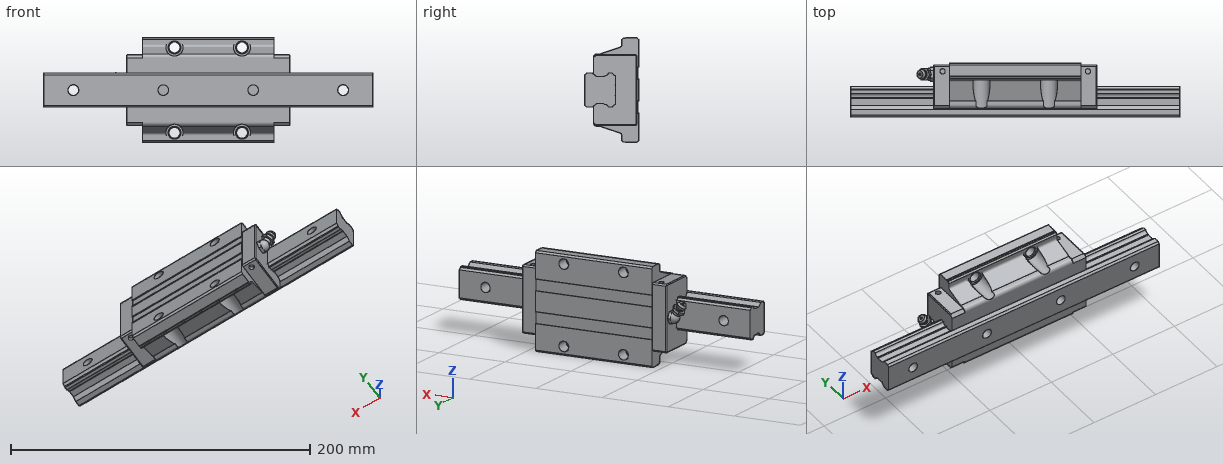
import cadquery as cq
import math

RAIL_LENGTH = 220.0
RAIL_HEIGHT = 20.5
RAIL_HALF_WIDTH = 11.5
ASSEMBLY_HEIGHT = 36.0

RAIL_FOOT_CHAMFER = 1.3
RAIL_FOOT_TOP = 5.0
RAIL_WAIST_HALF_WIDTH = 9.0
RAIL_WAIST_BOTTOM = 8.0
RAIL_WAIST_TOP = 12.5
RAIL_RIB_BOTTOM = 15.8
RAIL_RIB_TOP = 18.0
RAIL_CROWN_HALF_WIDTH = 9.7
RACEWAY_RADIUS = 2.6
RACEWAY_BEVEL_LENGTH = 0.7
RACEWAY_BEVEL_DEPTH = 0.5

RAIL_HOLE_DIAMETER = 7.0
RAIL_HOLE_PITCH = 60.0
RAIL_HOLE_COUNT = 4

CARRIAGE_LENGTH = 109.1
CARRIAGE_BOTTOM = 5.7

BLOCK_LENGTH = 88.0
FLANGE_HALF_WIDTH = 35.0
FLANGE_BOTTOM = 24.6
FLANGE_TOP_CHAMFER = 1.3
FLANGE_BOTTOM_CHAMFER = 1.0
FLANGE_BEVEL_BOTTOM = 26.8
FLANGE_BEVEL_DEPTH = 0.2
FLANK_BEVEL_DEPTH = 0.5
SIDE_BEVEL_LENGTH = 0.7
FLANK_TOP_HALF_WIDTH = 29.0
FLANK_BOTTOM_HALF_WIDTH = 24.2
FLANK_BOTTOM = 10.8
FLANK_FILLET = 1.8
BLOCK_EDGE_FILLET = 2.6

GROOVE_INNER = 7.3
GROOVE_OUTER = 15.5
GROOVE_DEPTH = 0.7

CAP_HALF_WIDTH = 23.8
CAP_TOP = 35.0
CAP_BOTTOM_CHAMFER = 2.2
CAP_TOP_CHAMFER = 1.0
CAP_FACE_CHAMFER = 0.7
CAP_PORT_DIAMETER = 3.5
CAP_PORT_DEPTH = 3.3
CAP_PORT_SPACING = 97.0
CAP_PORT_HEIGHT = 30.5

MOUNT_HOLE_DIAMETER = 7.3
MOUNT_CHAMFER = 0.7
MOUNT_PITCH_X = 45.0
MOUNT_PITCH_Z = 57.0
RELIEF_DIAMETER = 11.5

NIPPLE_HEIGHT = 28.5
NIPPLE_TILT = 35.0
COLLAR_CORNER_DIAMETER = 9.7
COLLAR_THICKNESS = 2.0
ELBOW_RADIUS = 4.3
NECK_HEX_FLATS = 8.0
NECK_HEX_START = 5.7
NECK_HEX_END = 7.7
STEM_RADIUS = 2.6
HEAD_START = 9.0
HEAD_RADIUS = 3.3
HEAD_TAPER_START = 10.8
HEAD_END = 12.5
TIP_RADIUS = 2.5
TIP_HOLE_RADIUS = 0.9
TIP_HOLE_DEPTH = 1.3

CARRIAGE_FACE_X = -CARRIAGE_LENGTH / 2


def extrude_along_x(half_outline, length):
    """Extrude a half outline of the Y-Z plane both ways from X = 0 and mirror it about Z = 0."""
    half = half_outline.close().extrude(length / 2, both=True)
    return half.union(half.mirror("XY"))


def rail_section(length):
    outline = (
        cq.Workplane("YZ")
        .lineTo(0, RAIL_HALF_WIDTH - RAIL_FOOT_CHAMFER)
        .lineTo(RAIL_FOOT_CHAMFER, RAIL_HALF_WIDTH)
        .lineTo(RAIL_FOOT_TOP, RAIL_HALF_WIDTH)
        .lineTo(RAIL_WAIST_BOTTOM, RAIL_WAIST_HALF_WIDTH)
        .lineTo(RAIL_WAIST_TOP, RAIL_WAIST_HALF_WIDTH)
        .line(RACEWAY_BEVEL_LENGTH, RACEWAY_BEVEL_DEPTH)
        .radiusArc((RAIL_RIB_BOTTOM, RAIL_HALF_WIDTH), -RACEWAY_RADIUS)
        .lineTo(RAIL_RIB_TOP, RAIL_HALF_WIDTH)
        .line(RACEWAY_BEVEL_LENGTH, -RACEWAY_BEVEL_DEPTH)
        .radiusArc((RAIL_HEIGHT, RAIL_CROWN_HALF_WIDTH), -RACEWAY_RADIUS)
        .lineTo(RAIL_HEIGHT, 0)
    )
    return extrude_along_x(outline, length)


def make_rail():
    first_x = -RAIL_HOLE_PITCH * (RAIL_HOLE_COUNT - 1) / 2
    hole_points = [(first_x + i * RAIL_HOLE_PITCH, 0) for i in range(RAIL_HOLE_COUNT)]
    holes = (
        cq.Workplane("XZ")
        .pushPoints(hole_points)
        .circle(RAIL_HOLE_DIAMETER / 2)
        .extrude(-RAIL_HEIGHT)
    )
    return rail_section(RAIL_LENGTH).cut(holes)


def make_block():
    lower_flange_half_width = FLANGE_HALF_WIDTH - FLANGE_BEVEL_DEPTH
    outline = (
        cq.Workplane("YZ")
        .moveTo(CARRIAGE_BOTTOM, 0)
        .lineTo(CARRIAGE_BOTTOM, FLANK_BOTTOM_HALF_WIDTH - BLOCK_EDGE_FILLET)
        .radiusArc((CARRIAGE_BOTTOM + BLOCK_EDGE_FILLET, FLANK_BOTTOM_HALF_WIDTH), BLOCK_EDGE_FILLET)
        .lineTo(FLANK_BOTTOM, FLANK_BOTTOM_HALF_WIDTH)
        .line(SIDE_BEVEL_LENGTH, FLANK_BEVEL_DEPTH)
        .lineTo(FLANGE_BOTTOM, FLANK_TOP_HALF_WIDTH)
        .lineTo(FLANGE_BOTTOM, lower_flange_half_width - FLANGE_BOTTOM_CHAMFER)
        .lineTo(FLANGE_BOTTOM + FLANGE_BOTTOM_CHAMFER, lower_flange_half_width)
        .lineTo(FLANGE_BEVEL_BOTTOM, lower_flange_half_width)
        .line(SIDE_BEVEL_LENGTH, FLANGE_BEVEL_DEPTH)
        .lineTo(ASSEMBLY_HEIGHT - FLANGE_TOP_CHAMFER, FLANGE_HALF_WIDTH)
        .lineTo(ASSEMBLY_HEIGHT, FLANGE_HALF_WIDTH - FLANGE_TOP_CHAMFER)
        .lineTo(ASSEMBLY_HEIGHT, GROOVE_OUTER)
        .lineTo(ASSEMBLY_HEIGHT - GROOVE_DEPTH, GROOVE_OUTER)
        .lineTo(ASSEMBLY_HEIGHT - GROOVE_DEPTH, GROOVE_INNER)
        .lineTo(ASSEMBLY_HEIGHT, GROOVE_INNER)
        .lineTo(ASSEMBLY_HEIGHT, 0)
    )
    block = extrude_along_x(outline, BLOCK_LENGTH)
    for side in (-1, 1):
        inner_corner = cq.selectors.NearestToPointSelector((0, FLANGE_BOTTOM, side * FLANK_TOP_HALF_WIDTH))
        block = block.edges(inner_corner).fillet(FLANK_FILLET)
    return block


def make_cap_bar():
    """Full-length bar whose two ends form the end caps."""
    height = CAP_TOP - CARRIAGE_BOTTOM
    return (
        cq.Workplane("XY")
        .box(CARRIAGE_LENGTH, height, 2 * CAP_HALF_WIDTH)
        .translate((0, CARRIAGE_BOTTOM + height / 2, 0))
        .faces("<X or >X")
        .edges("|Y or >Y")
        .chamfer(CAP_FACE_CHAMFER)
        .edges("|X and <Y")
        .chamfer(CAP_BOTTOM_CHAMFER)
        .edges("|X and >Y")
        .chamfer(CAP_TOP_CHAMFER)
    )


def make_cap_ports():
    """Blind ports in both side faces of both end caps."""
    port_points = [(side * CAP_PORT_SPACING / 2, CAP_PORT_HEIGHT) for side in (-1, 1)]
    port = (
        cq.Workplane("XY", origin=(0, 0, CAP_HALF_WIDTH - CAP_PORT_DEPTH))
        .pushPoints(port_points)
        .circle(CAP_PORT_DIAMETER / 2)
        .extrude(CAP_PORT_DEPTH)
    )
    return port.union(port.mirror("XY"))


def make_mount_cuts():
    """Flange holes chamfered from below, with round reliefs cut into the sloping flanks."""
    hole_radius = MOUNT_HOLE_DIAMETER / 2
    cutter = (
        cq.Workplane("XY")
        .lineTo(RELIEF_DIAMETER / 2, 0)
        .lineTo(RELIEF_DIAMETER / 2, FLANGE_BOTTOM)
        .lineTo(hole_radius + MOUNT_CHAMFER, FLANGE_BOTTOM)
        .lineTo(hole_radius, FLANGE_BOTTOM + MOUNT_CHAMFER)
        .lineTo(hole_radius, ASSEMBLY_HEIGHT)
        .lineTo(0, ASSEMBLY_HEIGHT)
        .close()
        .revolve(360, (0, 0, 0), (0, 1, 0))
    )
    cuts = cq.Workplane("XY")
    for side_x in (-1, 1):
        for side_z in (-1, 1):
            hole_x = side_x * MOUNT_PITCH_X / 2
            hole_z = side_z * MOUNT_PITCH_Z / 2
            cuts = cuts.add(cutter.translate((hole_x, 0, hole_z)))
    return cuts.combine()


def make_carriage():
    return (
        make_block()
        .union(make_cap_bar())
        .cut(make_cap_ports())
        .cut(make_mount_cuts())
        .cut(rail_section(RAIL_LENGTH))
    )


def make_nipple():
    elbow_x = CARRIAGE_FACE_X - COLLAR_THICKNESS
    collar = (
        cq.Workplane("YZ", origin=(elbow_x, NIPPLE_HEIGHT, 0))
        .polygon(6, COLLAR_CORNER_DIAMETER)
        .extrude(COLLAR_THICKNESS)
    )
    elbow = cq.Workplane("XY").sphere(ELBOW_RADIUS)
    neck = (
        cq.Workplane("XY", origin=(0, 0, NECK_HEX_START))
        .polygon(6, NECK_HEX_FLATS / math.cos(math.pi / 6))
        .extrude(NECK_HEX_END - NECK_HEX_START)
    )
    head = (
        cq.Workplane("XZ")
        .lineTo(STEM_RADIUS, 0)
        .lineTo(STEM_RADIUS, HEAD_START)
        .lineTo(HEAD_RADIUS, HEAD_START)
        .lineTo(HEAD_RADIUS, HEAD_TAPER_START)
        .lineTo(TIP_RADIUS, HEAD_END)
        .lineTo(TIP_HOLE_RADIUS, HEAD_END)
        .lineTo(TIP_HOLE_RADIUS, HEAD_END - TIP_HOLE_DEPTH)
        .lineTo(0, HEAD_END - TIP_HOLE_DEPTH)
        .close()
        .revolve(360, (0, 0, 0), (0, 1, 0))
    )
    spout = neck.union(head).rotate((0, 0, 0), (0, 1, 0), -NIPPLE_TILT)
    upper = elbow.union(spout).translate((elbow_x, NIPPLE_HEIGHT, 0))
    cap_region = cq.Workplane("XY").box(2 * ELBOW_RADIUS, 2 * ELBOW_RADIUS, 2 * ELBOW_RADIUS).translate(
        (CARRIAGE_FACE_X + ELBOW_RADIUS, NIPPLE_HEIGHT, 0)
    )
    return collar.union(upper.cut(cap_region))


rail = make_rail()
carriage = make_carriage()
nipple = make_nipple()

result = cq.Compound.makeCompound([rail.val(), carriage.val(), nipple.val()])